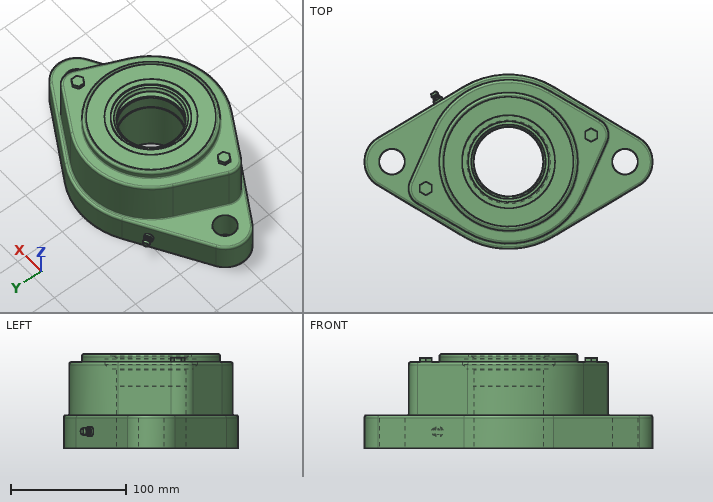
import cadquery as cq
import math

length = 250.0
total_height = 82.0

flange_radius = 75.8
flange_height = 29.0
bolt_spacing = 202.0
bolt_hole_diameter = 22.0
flange_lobe_radius = (length - bolt_spacing) / 2
flange_edge_radius = 2.2

housing_radius = 71.0
housing_top = 75.0
housing_lobe_radius = 15.0
housing_lobe_distance = 75.2
housing_turn = 17.9
housing_edge_radius = 2.2

root_radius = 0.8

screw_across_flats = 10.2
screw_head_height = 3.5
screw_turn = 30

collar_diameter = 120.0
collar_edge_radius = 2.2

seal_outer_diameter = 112.5
seal_inner_diameter = 80.8
seal_depth = 0.2

bore_diameter = 60.0
recess_diameter = 70.0
recess_depth = 1.5
lip_chamfer = 2.2
lip_land = 0.5
groove_diameter = 80.0
groove_floor_depth = 12.8
groove_cone = 3.8
seat_chamfer = 1.0

joint_diameter = 61.0
joint_depth = 28.2
joint_width = 0.5

nipple_height = 14.8
nipple_offset = 25.2
nipple_root = 2.5
nipple_base_diameter = 8.5
nipple_base_length = 2.2
nipple_neck_diameter = 5.5
nipple_bulge_diameter = 6.8
nipple_tip_diameter = 5.0
nipple_lower_bulge = 4.0
nipple_upper_neck = 5.0
nipple_upper_bulge = 6.5
nipple_length = 9.0


def lobed_outline(main_radius, lobe_radius, lobe_distance):
    """Central circle joined by tangent lines to one small circle at each X end."""
    tilt = math.asin((main_radius - lobe_radius) / lobe_distance)
    nx = math.sin(tilt)
    ny = math.cos(tilt)
    main_x = main_radius * nx
    main_y = main_radius * ny
    lobe_x = lobe_distance + lobe_radius * nx
    lobe_y = lobe_radius * ny
    end_x = lobe_distance + lobe_radius
    return (
        cq.Workplane("XY")
        .moveTo(-main_x, main_y)
        .threePointArc((0, main_radius), (main_x, main_y))
        .lineTo(lobe_x, lobe_y)
        .threePointArc((end_x, 0), (lobe_x, -lobe_y))
        .lineTo(main_x, -main_y)
        .threePointArc((0, -main_radius), (-main_x, -main_y))
        .lineTo(-lobe_x, -lobe_y)
        .threePointArc((-end_x, 0), (-lobe_x, lobe_y))
        .close()
    )


def make_flange():
    outline = lobed_outline(flange_radius, flange_lobe_radius, bolt_spacing / 2)
    flange = outline.extrude(flange_height).faces(">Z").edges().fillet(flange_edge_radius)
    holes = (
        cq.Workplane("XY")
        .pushPoints([(-bolt_spacing / 2, 0), (bolt_spacing / 2, 0)])
        .circle(bolt_hole_diameter / 2)
        .extrude(flange_height)
    )
    return flange.cut(holes)


def make_housing():
    outline = lobed_outline(housing_radius, housing_lobe_radius, housing_lobe_distance)
    housing = outline.extrude(housing_top).faces(">Z").edges().fillet(housing_edge_radius)
    return housing.rotate((0, 0, 0), (0, 0, 1), housing_turn)


def make_screw_heads():
    """Hexagon heads with one corner pointing along Y."""
    turn = math.radians(housing_turn)
    x = housing_lobe_distance * math.cos(turn)
    y = housing_lobe_distance * math.sin(turn)
    across_corners = screw_across_flats / math.cos(math.pi / 6)
    heads = cq.Workplane("XY")
    for side in (-1, 1):
        head = (
            cq.Workplane("XY")
            .polygon(6, across_corners)
            .extrude(screw_head_height)
            .rotate((0, 0, 0), (0, 0, 1), screw_turn)
            .translate((side * x, side * y, housing_top))
        )
        heads = heads.add(head)
    return heads.combine()


def make_collar():
    collar = cq.Workplane("XY").circle(collar_diameter / 2).extrude(total_height)
    collar = collar.faces(">Z").edges().fillet(collar_edge_radius)
    seal_recess = (
        cq.Workplane("XY", origin=(0, 0, total_height - seal_depth))
        .circle(seal_outer_diameter / 2)
        .circle(seal_inner_diameter / 2)
        .extrude(seal_depth)
    )
    return collar.cut(seal_recess)


def make_bore():
    """Through bore with a top recess, a bevelled lip and a groove below the lip."""
    bore = bore_diameter / 2
    groove = groove_diameter / 2
    recess_floor = total_height - recess_depth
    lip_top = recess_floor - lip_chamfer
    lip_bottom = lip_top - lip_land
    groove_floor = total_height - groove_floor_depth
    return (
        cq.Workplane("XZ")
        .lineTo(bore, 0)
        .lineTo(bore, groove_floor - seat_chamfer)
        .lineTo(bore + seat_chamfer, groove_floor)
        .lineTo(groove - groove_cone, groove_floor)
        .lineTo(groove, groove_floor + groove_cone)
        .lineTo(groove, lip_bottom)
        .lineTo(bore, lip_bottom)
        .lineTo(bore, lip_top)
        .lineTo(bore + lip_chamfer, recess_floor)
        .lineTo(recess_diameter / 2, recess_floor)
        .lineTo(recess_diameter / 2, total_height)
        .lineTo(0, total_height)
        .close()
        .revolve(360, (0, 0, 0), (0, 1, 0))
    )


def make_joint_groove():
    return (
        cq.Workplane("XY", origin=(0, 0, total_height - joint_depth))
        .circle(joint_diameter / 2)
        .extrude(joint_width)
    )


def make_nipple():
    """Turned nipple standing square on the flat rear left side of the flange."""
    base = nipple_base_diameter / 2
    neck = nipple_neck_diameter / 2
    bulge = nipple_bulge_diameter / 2
    tilt = math.asin((flange_radius - flange_lobe_radius) / (bolt_spacing / 2))
    nipple = (
        cq.Workplane("XY")
        .moveTo(0, -nipple_root)
        .lineTo(base, -nipple_root)
        .lineTo(base, nipple_base_length)
        .lineTo(neck, nipple_base_length)
        .lineTo(bulge, nipple_lower_bulge)
        .lineTo(neck, nipple_upper_neck)
        .lineTo(bulge, nipple_upper_bulge)
        .lineTo(nipple_tip_diameter / 2, nipple_length)
        .lineTo(0, nipple_length)
        .close()
        .revolve(360, (0, 0, 0), (0, 1, 0))
    )
    nipple = nipple.translate((-nipple_offset, flange_radius, nipple_height))
    return nipple.rotate((0, 0, 0), (0, 0, 1), math.degrees(tilt))


def fillet_root(body, ledge_height):
    """Round the inside corner around whatever stands on the flat ledge at ledge_height."""
    tolerance = 0.02
    ledge = next(
        face for face in body.faces("|Z").vals() if abs(face.Center().z - ledge_height) < tolerance
    )
    corner = max(ledge.innerWires(), key=lambda wire: wire.Length())
    return body.newObject(corner.Edges()).fillet(root_radius)


body = fillet_root(make_flange().union(make_housing()), flange_height)
body = fillet_root(body.union(make_collar()), housing_top)
body = body.cut(make_bore()).cut(make_joint_groove())
result = body.union(make_screw_heads()).union(make_nipple())